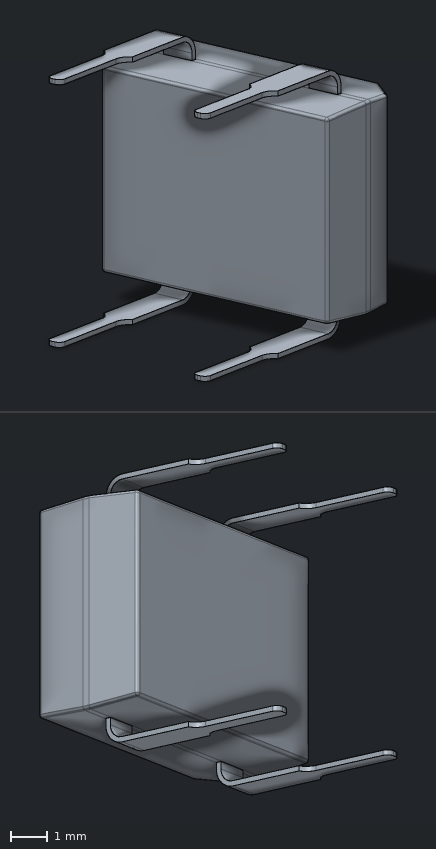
import cadquery as cq
import math

BODY_LENGTH = 8.12
BODY_HEIGHT = 6.195
BODY_DEPTH = 3.43
BAND_THICKNESS = 0.2
FRONT_DRAFT = 4.0
BACK_DRAFT = 3.0
EDGE_RADIUS = 0.1
BEVEL_LENGTH = 0.95
BEVEL_DEPTH = 0.83

LEAD_PITCH = 5.08
LEAD_SPAN = 7.77
LEAD_THICKNESS = 0.155
LEAD_WIDTH = 1.0
BEND_RADIUS = 0.57
EMBEDDED_LENGTH = 0.24
PIN_WIDTH = 0.5
SHOULDER_RADIUS = 0.455
TIP_RADIUS = 0.2
SHOULDER_Y = -2.78
OVERALL_DEPTH = 7.41

PICK_MARGIN = 0.01

half_band = BAND_THICKNESS / 2
half_lead = LEAD_THICKNESS / 2
back_y = BODY_DEPTH / 2
right_x = BODY_LENGTH / 2
bevel_start_x = right_x - BEVEL_LENGTH
bevel_start_y = back_y - BEVEL_DEPTH
tip_y = back_y - OVERALL_DEPTH


def rounded_rectangle(inset):
    """Body cross-section, drawn in by `inset` on all four sides."""
    return (
        cq.Sketch()
        .rect(BODY_LENGTH - 2 * inset, BODY_HEIGHT - 2 * inset)
        .vertices()
        .fillet(EDGE_RADIUS)
    )


def drafted_half(draft):
    """Block that narrows along +Y from the edge of the parting band to the end face."""
    depth = back_y - half_band
    inset = depth * math.tan(math.radians(draft))
    end_section = rounded_rectangle(inset).moved(cq.Location((0, 0, -depth)))
    return (
        cq.Workplane("XZ", origin=(0, half_band, 0))
        .placeSketch(rounded_rectangle(0), end_section)
        .loft()
    )


def bevel_cutter():
    """Triangular prism that removes the back right corner over the full height."""
    return (
        cq.Workplane("XY", origin=(0, 0, -BODY_HEIGHT / 2))
        .moveTo(bevel_start_x, back_y)
        .lineTo(right_x, back_y)
        .lineTo(right_x, bevel_start_y)
        .close()
        .extrude(BODY_HEIGHT)
    )


def make_body():
    band = (
        cq.Workplane("XZ", origin=(0, half_band, 0))
        .placeSketch(rounded_rectangle(0))
        .extrude(BAND_THICKNESS)
    )
    front = drafted_half(FRONT_DRAFT).faces(">Y").edges().fillet(EDGE_RADIUS).mirror("XZ")

    back = drafted_half(BACK_DRAFT).cut(bevel_cutter())
    back_rim = back.faces(">Y").edges().edges(cq.selectors.BoxSelector(
        (-right_x, back_y - PICK_MARGIN, -BODY_HEIGHT),
        (bevel_start_x - PICK_MARGIN, back_y + PICK_MARGIN, BODY_HEIGHT),
    ))
    bevel_ends = back.edges(cq.selectors.BoxSelector(
        (bevel_start_x + PICK_MARGIN, bevel_start_y, -BODY_HEIGHT),
        (right_x - EDGE_RADIUS / 2, back_y - PICK_MARGIN, BODY_HEIGHT),
    ))
    back = back_rim.add(bevel_ends).fillet(EDGE_RADIUS)
    return band.union(front).union(back)


def lead_profile():
    """Side profile of the upper lead: out of the body, round the bend and forward to the tip."""
    outer_z = LEAD_SPAN / 2
    inner_z = outer_z - LEAD_THICKNESS
    root_z = BODY_HEIGHT / 2 - EMBEDDED_LENGTH
    inner_radius = BEND_RADIUS - LEAD_THICKNESS
    bend_y = half_lead - BEND_RADIUS
    bend_z = outer_z - BEND_RADIUS
    diagonal = math.sqrt(0.5)
    return (
        cq.Workplane("YZ", origin=(-LEAD_WIDTH / 2, 0, 0))
        .moveTo(half_lead, root_z)
        .lineTo(half_lead, bend_z)
        .threePointArc(
            (bend_y + BEND_RADIUS * diagonal, bend_z + BEND_RADIUS * diagonal),
            (bend_y, outer_z),
        )
        .lineTo(tip_y, outer_z)
        .lineTo(tip_y, inner_z)
        .lineTo(bend_y, inner_z)
        .threePointArc(
            (bend_y + inner_radius * diagonal, bend_z + inner_radius * diagonal),
            (-half_lead, bend_z),
        )
        .lineTo(-half_lead, root_z)
        .close()
        .extrude(LEAD_WIDTH)
    )


def lead_outline():
    """Flat outline of the lead: wide strip, curved shoulders, narrow pin with a rounded tip."""
    half_width = LEAD_WIDTH / 2
    half_pin = PIN_WIDTH / 2
    overhang = SHOULDER_RADIUS - (half_width - half_pin)
    pin_y = SHOULDER_Y - math.sqrt(SHOULDER_RADIUS**2 - overhang**2)
    return (
        cq.Workplane("XY")
        .moveTo(-half_width, half_lead)
        .lineTo(half_width, half_lead)
        .lineTo(half_width, SHOULDER_Y)
        .radiusArc((half_pin, pin_y), -SHOULDER_RADIUS)
        .lineTo(half_pin, tip_y + TIP_RADIUS)
        .radiusArc((half_pin - TIP_RADIUS, tip_y), TIP_RADIUS)
        .lineTo(TIP_RADIUS - half_pin, tip_y)
        .radiusArc((-half_pin, tip_y + TIP_RADIUS), TIP_RADIUS)
        .lineTo(-half_pin, pin_y)
        .radiusArc((-half_width, SHOULDER_Y), -SHOULDER_RADIUS)
        .close()
        .extrude(LEAD_SPAN / 2)
    )


upper_lead = lead_profile().intersect(lead_outline())
lower_lead = upper_lead.mirror("XY")

result = make_body()
for side in (-1, 1):
    for lead in (upper_lead, lower_lead):
        result = result.union(lead.translate((side * LEAD_PITCH / 2, 0, 0)))